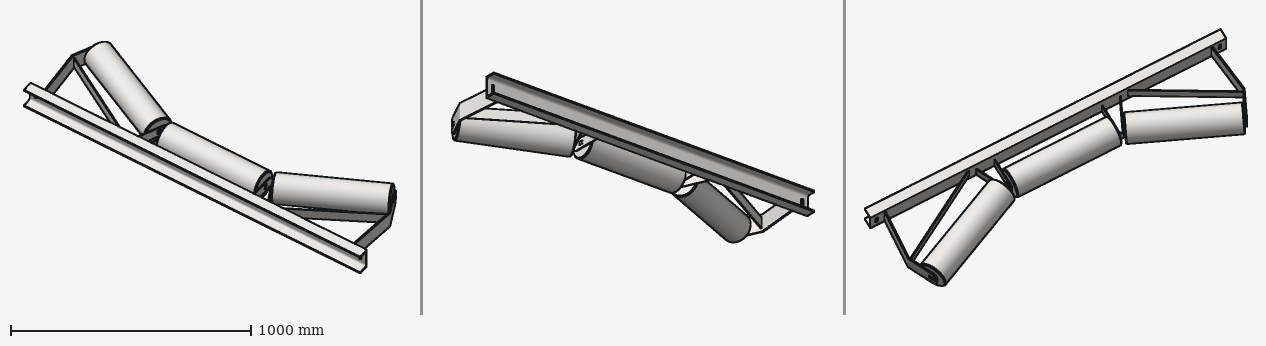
import cadquery as cq
import math


channel_length = 1700.0
channel_height = 100.0
channel_depth = 50.0
channel_thickness = 7.0
channel_fillet = 10.0
end_slot_length = 37.0
end_slot_width = 14.0
end_slot_inset = 30.0

roller_diameter = 135.0
roller_radius = roller_diameter / 2
roller_length = 500.0
roller_chamfer = 5.0
trough_angle = 25.0
forward_tilt = 2.0
wing_middle_x = -518.0
wing_middle_y = 233.0
wing_drop = roller_length * math.sin(math.radians(forward_tilt))
wing_middle_z = -wing_drop / 2
center_roller_y = 115.0
center_roller_z = -19.0

shaft_radius = 12.0
shaft_end_height = 17.0
shaft_end_width = 15.0

end_gap = 4.2
outer_width = 80.0
outer_thickness = 7.0
outer_lean = 5.0
outer_foot_x = -780.0
outer_bend_radius = 8.0
outer_tip_reach = 30.0
outer_tip_fillet = 27.0
inner_width = 51.0
inner_thickness = 5.0
inner_bend_radius = 10.0
brace_thickness = 5.0
brace_width = 51.0
brace_foot_x = -377.0
brace_top_drop = 110.0

outer_plate_offset = roller_length / 2 + end_gap + outer_thickness / 2
inner_plate_offset = roller_length / 2 + end_gap + inner_thickness / 2
foot_y = -channel_thickness / 2
trough_tan = math.tan(math.radians(trough_angle))
lean_tan = math.tan(math.radians(outer_lean))


def in_wing(body):
    """Move a body from the X axis onto the left wing axis; its -X end becomes the high outer end."""
    tilted = body.rotate((0, 0, 0), (0, 1, 0), forward_tilt)
    troughed = tilted.rotate((0, 0, 0), (0, 0, 1), -trough_angle)
    return troughed.translate((wing_middle_x, wing_middle_y, wing_middle_z))


def in_center(body):
    """Move a body from the X axis onto the axis of the center roller."""
    return body.translate((0, center_roller_y, center_roller_z))


def wing_point(outward, upward):
    """XY point at a distance along the left wing axis and a distance square to it."""
    angle = math.radians(trough_angle)
    x = wing_middle_x - outward * math.cos(angle) + upward * math.sin(angle)
    y = wing_middle_y + outward * math.sin(angle) + upward * math.cos(angle)
    return cq.Vector(x, y)


def round_bar(radius):
    """Cylinder along X, as long as a roller and centred on the origin."""
    section = cq.Workplane("YZ", origin=(-roller_length / 2, 0, 0))
    return section.circle(radius).extrude(roller_length)


def roller():
    """Roller along X, bored for its shaft."""
    shell = round_bar(roller_radius).edges().chamfer(roller_chamfer)
    return shell.cut(round_bar(shaft_radius))


def shaft(outer_end, inner_end):
    """Shaft along X from -outer_end to inner_end: round in the roller, flattened in the brackets."""
    middle = round_bar(shaft_radius)
    flat_bar = (
        cq.Workplane("YZ", origin=(-outer_end, 0, 0))
        .rect(shaft_end_height, shaft_end_width)
        .extrude(outer_end + inner_end)
    )
    return middle.union(flat_bar)


def channel():
    """U-channel with its flanges toward -Y and an upright slot near each end of the web."""
    web_inner_y = -channel_thickness
    bar = cq.Workplane("XY").box(channel_length, channel_depth, channel_height)
    trough = cq.Workplane("XY").box(
        channel_length, channel_depth, channel_height - 2 * channel_thickness
    )
    trough = trough.edges("|X and >Y").fillet(channel_fillet).translate((0, web_inner_y, 0))
    slot_x = channel_length / 2 - end_slot_inset
    slots = (
        cq.Workplane("XZ")
        .pushPoints([(-slot_x, 0), (slot_x, 0)])
        .slot2D(end_slot_length, end_slot_width, 90)
        .extrude(channel_depth)
    )
    return bar.cut(trough).translate((0, -channel_depth / 2, 0)).cut(slots)


def straight_strip(start, end, thickness, width):
    """Flat strip between two XY points, with its width along Z."""
    section = cq.Plane(origin=start, xDir=(0, 0, 1), normal=end - start)
    return cq.Workplane(section).rect(width, thickness).extrude((end - start).Length)


def bent_strip(start, corner, end, radius, thickness, width):
    """Flat strip whose middle line runs from start to end with one bend of a given radius."""
    first = (corner - start).normalized()
    second = (end - corner).normalized()
    setback = radius * math.tan(first.getAngle(second) / 2)
    bend_start = corner - first * setback
    bend_end = corner + second * setback
    path = (
        cq.Workplane("XY")
        .moveTo(start.x, start.y)
        .lineTo(bend_start.x, bend_start.y)
        .tangentArcPoint((bend_end.x, bend_end.y), relative=False)
        .lineTo(end.x, end.y)
    )
    section = cq.Plane(origin=start, xDir=(0, 0, 1), normal=first)
    return cq.Workplane(section).rect(width, thickness).sweep(path)


def outer_bracket_corner():
    """Point where the leaning foot of the outer bracket meets its plate square to the wing."""
    plate = wing_point(outer_plate_offset, 0)
    y = (outer_foot_x - plate.x + plate.y * trough_tan) / (lean_tan + trough_tan)
    return cq.Vector(outer_foot_x - y * lean_tan, y)


def outer_bracket():
    """Leaning strip bent square to the wing, with a rounded tip and an open slot for the shaft."""
    foot = cq.Vector(outer_foot_x - foot_y * lean_tan, foot_y)
    tip = wing_point(outer_plate_offset, outer_tip_reach)
    body = bent_strip(
        foot, outer_bracket_corner(), tip, outer_bend_radius, outer_thickness, outer_width
    )
    body = body.faces(">Y").edges("not |Z").fillet(outer_tip_fillet)
    slot_depth = 4 * outer_thickness
    slot_height = shaft_end_height + 2 * outer_tip_reach
    slot = cq.Workplane("XY").box(slot_depth, slot_height, shaft_end_width)
    slot = slot.translate((-outer_plate_offset, outer_tip_reach, 0))
    return body.cut(in_wing(slot))


def inner_bracket():
    """Strip folded into an inverted V: one leg square to the wing, the other upright at the center."""
    plate = wing_point(-inner_plate_offset, 0)
    foot = cq.Vector(plate.x - (plate.y - foot_y) * trough_tan, foot_y)
    leg_x = -inner_plate_offset
    corner = cq.Vector(leg_x, foot_y + (leg_x - foot.x) / trough_tan)
    leg_foot = cq.Vector(leg_x, foot_y)
    body = bent_strip(foot, corner, leg_foot, inner_bend_radius, inner_thickness, inner_width)
    return body.translate((0, 0, center_roller_z))


def brace():
    """Straight strip from the channel to the outer bracket, just above its bend."""
    foot = cq.Vector(brace_foot_x, foot_y)
    top = wing_point(outer_plate_offset, -brace_top_drop)
    return straight_strip(foot, top, brace_thickness, brace_width)


outer_shaft_end = outer_plate_offset + outer_thickness / 2
inner_shaft_end = inner_plate_offset + inner_thickness / 2
wing_shaft = in_wing(shaft(outer_shaft_end, inner_shaft_end))
center_shaft = in_center(shaft(inner_shaft_end, inner_shaft_end))
shafts = [wing_shaft, center_shaft, wing_shaft.mirror("YZ")]

wing_roller = in_wing(roller())
rollers = [wing_roller, in_center(roller()), wing_roller.mirror("YZ")]

frame = channel()
for strip in (outer_bracket(), inner_bracket(), brace()):
    frame = frame.union(strip).union(strip.mirror("YZ"))
for pin in shafts:
    frame = frame.cut(pin)

bodies = [frame, *rollers, *shafts]
result = cq.Compound.makeCompound([body.solids().val() for body in bodies])